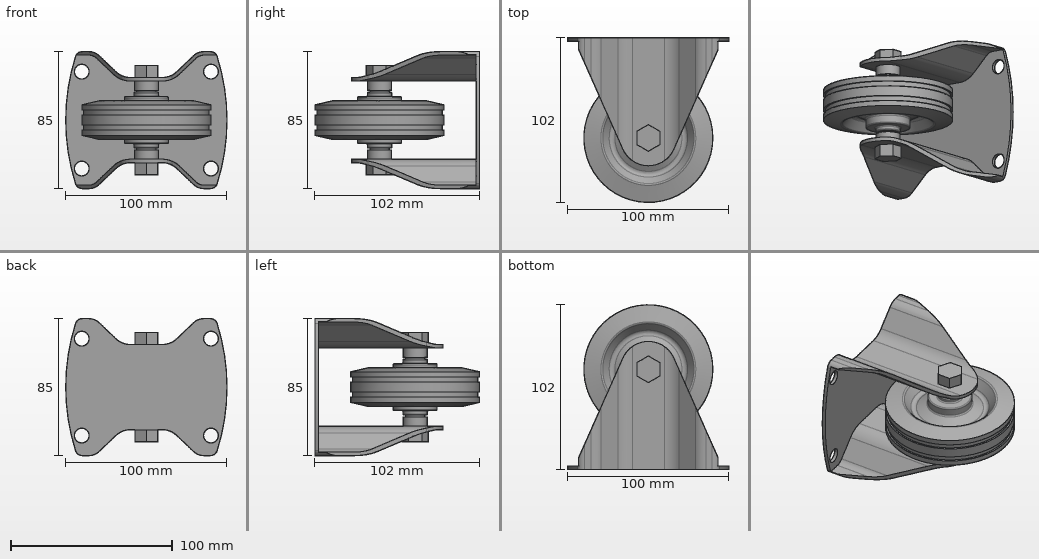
import cadquery as cq
import math


sheet = 2.2
plate_back = 62.0
plate_half_width = 50.0
plate_half_height = 85.0 / 2
corner_half_width = 42.8
corner_radius = 4.6
hole_diameter = 9.0
hole_spacing_x = 80.0
hole_spacing_z = 60.0

waist_height = 26.4
waist_half_width = 15.1
shoulder_half_width = 31.9
waist_bend_radius = 13.0
shoulder_bend_radius = 9.3
leg_half_width = 43.2
leg_taper_start = 54.8
leg_end_radius = 17.2
bracket_depth = plate_back + leg_end_radius

tread_radius = 40.0
tread_half_width = 9.5
groove_radius = 38.9
groove_inner = 3.1
groove_outer = 6.2
lip_radius = 28.7
lip_height = 12.1
dish_radius = 22.8
dish_height = 4.2
hub_radius = 13.7
hub_root_height = 8.9
hub_height = 14.5
lip_rounding = 1.1
dish_rounding = 2.8
hub_root_rounding = 1.1
edge_rounding = 0.7

collar_radius = 15.2 / 2
collar_height = 17.3
neck_radius = 12.0 / 2
spacer_radius = 15.0 / 2
spacer_start = 18.4
bolt_head_flats = 14.3
bolt_head_top = 33.9

tolerance = 0.01


def fold_edges_at(x, z):
    """Test for the edges along Y at the given distances from the two planes of symmetry."""
    def matches(edge):
        center = edge.Center()
        return math.hypot(abs(center.x) - x, abs(center.z) - z) < tolerance
    return matches


def circles_at(radius, height):
    """Test for the circles about Z with the given radius and distance from the plane Z = 0."""
    def matches(edge):
        return math.hypot(edge.radius() - radius, abs(edge.Center().z) - height) < tolerance
    return matches


def bowed_block():
    """Block with bowed sides and rounded corners, running along Y from the plate back to the leg ends."""
    return (
        cq.Workplane("XZ", origin=(0, plate_back, 0))
        .moveTo(-corner_half_width, plate_half_height)
        .lineTo(corner_half_width, plate_half_height)
        .threePointArc((plate_half_width, 0), (corner_half_width, -plate_half_height))
        .lineTo(-corner_half_width, -plate_half_height)
        .threePointArc((-plate_half_width, 0), (-corner_half_width, plate_half_height))
        .close()
        .extrude(bracket_depth)
        .edges("|Y")
        .fillet(corner_radius)
    )


def waisted_block(back, inset):
    """Block along Y with a narrow waist, its faces moved in from the outer faces of the legs by the inset."""
    slope = math.atan2(plate_half_height - waist_height, shoulder_half_width - waist_half_width)
    corner_shift = inset * math.tan(slope / 2)
    waist = (waist_half_width + corner_shift, waist_height - inset)
    shoulder = (shoulder_half_width + corner_shift, plate_half_height - inset)
    beyond_side = (plate_half_width + sheet, plate_half_height - inset)

    upper_right = [waist, shoulder, beyond_side]
    lower_right = [(x, -z) for x, z in reversed(upper_right)]
    right = upper_right + lower_right
    left = [(-x, z) for x, z in reversed(right)]
    block = (
        cq.Workplane("XZ", origin=(0, back, 0))
        .polyline(right + left)
        .close()
        .extrude(back + leg_end_radius)
    )

    bends = [(waist, waist_bend_radius + inset), (shoulder, shoulder_bend_radius - inset)]
    for (bend_x, bend_z), radius in bends:
        block = block.edges("|Y").filter(fold_edges_at(bend_x, bend_z)).fillet(radius)
    return block


def leg_outline():
    """Leg shape seen along Z: parallel sides at the plate, then a taper tangent to the rounded end."""
    corner_distance = math.hypot(leg_half_width, leg_taper_start)
    corner_angle = math.atan2(leg_taper_start, leg_half_width)
    tangent_angle = corner_angle - math.acos(leg_end_radius / corner_distance)
    tangent_x = leg_end_radius * math.cos(tangent_angle)
    tangent_y = leg_end_radius * math.sin(tangent_angle)
    return (
        cq.Workplane("XY")
        .moveTo(leg_half_width, plate_back)
        .lineTo(leg_half_width, leg_taper_start)
        .lineTo(tangent_x, tangent_y)
        .threePointArc((0, -leg_end_radius), (-tangent_x, tangent_y))
        .lineTo(-leg_half_width, leg_taper_start)
        .lineTo(-leg_half_width, plate_back)
        .close()
        .extrude(plate_half_height, both=True)
    )


def bracket():
    """Mounting plate with four holes and two tapered legs, all of one sheet thickness."""
    plate_slab = (
        cq.Workplane("XZ", origin=(0, plate_back, 0))
        .rect(2 * plate_half_width, 2 * plate_half_height)
        .extrude(sheet)
    )
    holes = (
        cq.Workplane("XZ", origin=(0, plate_back, 0))
        .rect(hole_spacing_x, hole_spacing_z, forConstruction=True)
        .vertices()
        .circle(hole_diameter / 2)
        .extrude(sheet)
    )
    return (
        waisted_block(plate_back, 0)
        .intersect(bowed_block())
        .intersect(leg_outline().union(plate_slab))
        .cut(waisted_block(plate_back - sheet, sheet))
        .cut(holes)
    )


def wheel_and_axle():
    """Wheel, hub and axle turned about Z as one body, then rounded at the rims and roots on both sides."""
    upper_profile = [
        (tread_radius, groove_inner),
        (groove_radius, groove_inner),
        (groove_radius, groove_outer),
        (tread_radius, groove_outer),
        (tread_radius, tread_half_width),
        (lip_radius, lip_height),
        (dish_radius, dish_height),
        (hub_radius, hub_root_height),
        (hub_radius, hub_height),
        (collar_radius, hub_height),
        (collar_radius, collar_height),
        (neck_radius, collar_height),
        (neck_radius, spacer_start),
        (spacer_radius, spacer_start),
        (spacer_radius, waist_height),
        (0, waist_height),
    ]
    lower_profile = [(radius, -height) for radius, height in reversed(upper_profile)]
    body = (
        cq.Workplane("XZ")
        .polyline(upper_profile + lower_profile)
        .close()
        .revolve(360, (0, 0), (0, 1))
    )
    roundings = [
        (lip_radius, lip_height, lip_rounding),
        (dish_radius, dish_height, dish_rounding),
        (hub_radius, hub_root_height, hub_root_rounding),
        (hub_radius, hub_height, edge_rounding),
        (collar_radius, hub_height, edge_rounding),
        (collar_radius, collar_height, edge_rounding),
    ]
    for radius, height, rounding in roundings:
        body = body.edges("%CIRCLE").filter(circles_at(radius, height)).fillet(rounding)
    return body


def bolt_heads():
    """Hexagonal heads on the outside of both legs, with two corners pointing along Y."""
    across_corners = bolt_head_flats / math.cos(math.pi / 6)
    head = (
        cq.Workplane("XY", origin=(0, 0, waist_height))
        .transformed(rotate=(0, 0, 90))
        .polygon(6, across_corners)
        .extrude(bolt_head_top - waist_height)
    )
    return head.union(head.mirror("XY"))


result = bracket().union(wheel_and_axle()).union(bolt_heads())